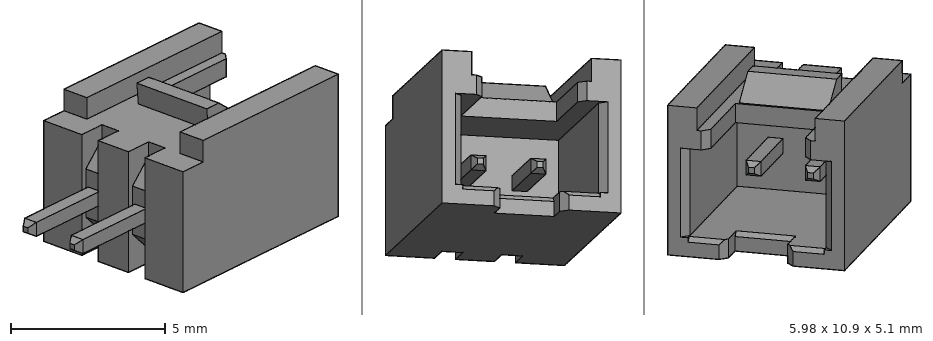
import cadquery as cq


width = 5.98
length = 7.7
height = 5.1
rail_height = 0.77
rail_width = 0.99
rail_setback = 1.0
deck_z = height - rail_height

pin_pitch = 2.0
pin_size = 0.5
pin_tip_size = 0.2
pin_tip_length = 0.25
pin_front_length = 3.2
pin_back_gap = 2.9
pin_z = deck_z / 2
pin_centers = (-pin_pitch / 2, pin_pitch / 2)

cavity_width = 4.6
cavity_depth = 5.7
wall_thickness = 0.65
roof_slot_width = 3.2
roof_slot_depth = 3.1
floor_notch_width = 2.0
floor_notch_depth = 1.0
mouth_flare = 0.25
floor_chamfer = 0.15
cavity_top_z = deck_z - wall_thickness

ridge_width = 3.0
ridge_back_gap = 3.2
ridge_ramp_length = 1.0
ridge_top_length = 0.6
ridge_undercut = 0.07

recess_width = 0.7
recess_end_depth = 1.0
recess_mid_depth = 0.2
recess_flat_half_height = 0.865
recess_bevel_height = recess_end_depth - recess_mid_depth


def prism_along_x(points, center_x, span):
    """Extrude a (Y, Z) outline along X, centred on center_x."""
    plane = cq.Workplane("YZ", origin=(center_x - span / 2, 0, 0))
    return plane.polyline(points).close().extrude(span)


def make_housing():
    body_side = [
        (0, 0),
        (length, 0),
        (length, height),
        (rail_setback, height),
        (rail_setback, deck_z),
        (0, deck_z),
    ]
    channel = cq.Workplane("XY").box(
        width - 2 * rail_width, length, rail_height, centered=(True, False, False)
    )
    return prism_along_x(body_side, 0, width).cut(channel.translate((0, 0, deck_z)))


def flared_opening(opening_width, depth, z_bottom, z_top):
    """Pocket open toward +Y whose side walls flare at 45 degrees at the mouth."""
    half = opening_width / 2
    outline = [
        (-half, length - depth),
        (half, length - depth),
        (half, length - mouth_flare),
        (half + mouth_flare, length),
        (-half - mouth_flare, length),
        (-half, length - mouth_flare),
    ]
    plane = cq.Workplane("XY", origin=(0, 0, z_bottom))
    return plane.polyline(outline).close().extrude(z_top - z_bottom)


def floor_edge_chamfer(edge_y, span):
    """Wedge that bevels the upper edge of the cavity floor at edge_y."""
    outline = [
        (edge_y, wall_thickness),
        (edge_y - floor_chamfer, wall_thickness),
        (edge_y, wall_thickness - floor_chamfer),
    ]
    return prism_along_x(outline, 0, span)


def cut_cavity(body):
    body = body.cut(flared_opening(cavity_width, cavity_depth, wall_thickness, cavity_top_z))
    body = body.cut(flared_opening(roof_slot_width, roof_slot_depth, cavity_top_z, deck_z))
    body = body.cut(flared_opening(floor_notch_width, floor_notch_depth, 0, wall_thickness))
    body = body.cut(floor_edge_chamfer(length, cavity_width))
    return body.cut(floor_edge_chamfer(length - floor_notch_depth, floor_notch_width))


def make_ridge():
    foot_y = length - ridge_back_gap
    crest_y = foot_y - ridge_ramp_length
    front_y = crest_y - ridge_top_length
    outline = [
        (foot_y, deck_z),
        (crest_y, height),
        (front_y, height),
        (front_y + ridge_undercut, deck_z),
    ]
    return prism_along_x(outline, 0, ridge_width)


def make_recess(center_x):
    flat_bottom = pin_z - recess_flat_half_height
    flat_top = pin_z + recess_flat_half_height
    outline = [
        (0, 0),
        (recess_end_depth, 0),
        (recess_end_depth, flat_bottom - recess_bevel_height),
        (recess_mid_depth, flat_bottom),
        (recess_mid_depth, flat_top),
        (recess_end_depth, flat_top + recess_bevel_height),
        (recess_end_depth, deck_z),
        (0, deck_z),
    ]
    return prism_along_x(outline, center_x, recess_width)


def pin_section(center_x, start_y, direction):
    """Square pin outline at start_y, facing along +Y (1) or -Y (-1)."""
    plane = cq.Plane(origin=(center_x, start_y, pin_z), xDir=(1, 0, 0), normal=(0, direction, 0))
    return cq.Workplane(plane).rect(pin_size, pin_size)


def make_pin_tip(center_x, base_y, direction):
    base = pin_section(center_x, base_y, direction)
    return base.workplane(offset=pin_tip_length).rect(pin_tip_size, pin_tip_size).loft()


def make_pin(center_x):
    """Square pin with a tapered, blunt tip at each end."""
    shank_front = -pin_front_length + pin_tip_length
    shank_back = length - pin_back_gap - pin_tip_length
    pin = pin_section(center_x, shank_front, 1).extrude(shank_back - shank_front)
    pin = pin.union(make_pin_tip(center_x, shank_front, -1))
    return pin.union(make_pin_tip(center_x, shank_back, 1))


result = cut_cavity(make_housing()).union(make_ridge())
for pin_x in pin_centers:
    result = result.cut(make_recess(pin_x)).union(make_pin(pin_x))